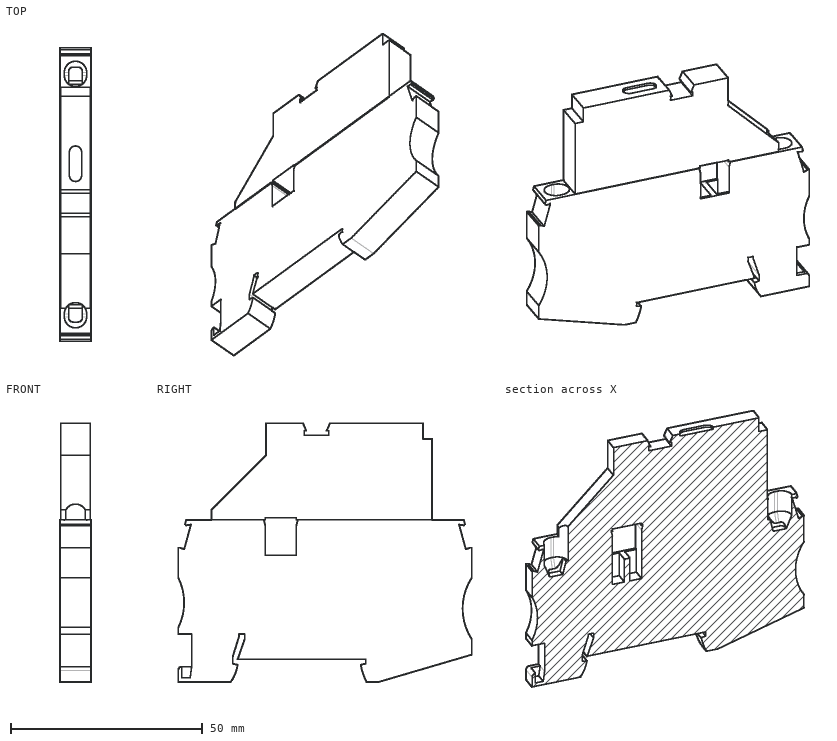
import cadquery as cq
import math

length = 76.5
height = 67.5
base_width = 8.2
upper_width = 7.8
shoulder_z = 42.2
half_length = length / 2

lip_y = 36.5
lip_bevel = 0.3
lip_tip_z = 41.15
lip_bottom_z = 40.8
notch_top_z = 41.0
notch_top_y = 34.95
notch_bottom_y = 36.7
notch_bottom_z = 34.6
end_top_z = 35.0
end_top_flat = 0.5
grip_top_z = 27.15
back_grip_bottom_z = 11.2
back_grip_depth = 2.4
front_grip_bottom_z = 14.2
front_grip_depth = 1.5

rail_z = 5.9
hook_root_z = 4.8
hook_tip_z = 4.5
back_corner_z = 7.1
back_foot_y = 14.0
back_hook_end_y = 10.8
back_hook_root_y = 10.55
back_hook_tip_y = 9.25
back_hook_bulge = (9.8, 2.45)
front_hook_end_y = -24.55
front_hook_root_y = -24.0
front_hook_tip_y = -22.7
front_hook_bulge = (-23.3, 2.2)

slit_top_z = 12.5
slit_back_y = -20.95
slit_back_z = 11.2
slit_back_bottom_y = -22.8
slit_front_y = -22.3
slit_front_z = 11.9
slit_front_bottom_z = 6.6

release_y = -34.7
release_top_z = 12.5
release_bottom_z = 4.05
release_edge_radius = 1.0

hollow_wall = 1.15
hollow_floor_z = 1.15
hollow_back_floor_y = -35.1

upper_back_y = 27.9
upper_step_y = 25.55
upper_step_z = 63.35
upper_front_y = -29.6
slope_top_y = -15.4
slope_top_z = 59.1
slope_bottom_z = slope_top_z - (slope_top_y - upper_front_y)

groove_y = -2.2
groove_floor_z = 64.3
groove_lip_z = 65.4
groove_floor_half = 3.1
groove_lip_half = 2.6
groove_top_half = 3.5

oval_y = 8.0
oval_length = 9.25
oval_width = 3.2
oval_depth = 0.6

window_back_y = -7.5
window_front_y = -15.5
window_floor_z = 33.05
window_top_z = 42.8
window_flare = 0.4
window_flare_z = 40.8
window_wall = 0.7
pocket_length = 3.2
pocket_depth = 6.9

funnel_y = 31.45
funnel_radius = 2.9
funnel_straight = 0.8
mouth_depth = 6.1
taper_depth = 3.8
taper_shrink = 1.5
socket_width = 3.6
socket_outer_y = 33.2
socket_inner_top_y = 28.7
socket_inner_bottom_y = 29.6
socket_corner_radius = 1.15


def extrude_profile(outline, width):
    """Extrude a closed YZ outline symmetrically about the X = 0 plane."""
    return outline.close().extrude(width / 2, both=True)


def end_points(side):
    """Overhanging lip and undercut at one end, from the shoulder downward."""
    points = [
        (lip_y - lip_bevel, shoulder_z),
        (lip_y, lip_tip_z),
        (lip_y - lip_bevel, lip_bottom_z),
        (notch_top_y, notch_top_z),
        (notch_bottom_y, notch_bottom_z),
        (half_length - end_top_flat, end_top_z),
        (half_length, end_top_z),
    ]
    return [(side * y, z) for y, z in points]


def make_base():
    front_end = end_points(-1)
    back_end = end_points(1)
    front_grip_mid_z = (grip_top_z + front_grip_bottom_z) / 2
    back_grip_mid_z = (grip_top_z + back_grip_bottom_z) / 2
    arc_inset = release_edge_radius * (1 - math.sqrt(0.5))

    outline = cq.Workplane("YZ").polyline(front_end)
    outline = (
        outline.lineTo(-half_length, grip_top_z)
        .threePointArc(
            (-half_length + front_grip_depth, front_grip_mid_z),
            (-half_length, front_grip_bottom_z),
        )
        .lineTo(-half_length, release_top_z)
        .lineTo(release_y, release_top_z)
        .lineTo(release_y, release_bottom_z)
        .lineTo(-half_length + release_edge_radius, release_bottom_z)
        .threePointArc(
            (-half_length + arc_inset, release_bottom_z - arc_inset),
            (-half_length, release_bottom_z - release_edge_radius),
        )
        .lineTo(-half_length, 0)
        .lineTo(front_hook_end_y, 0)
        .threePointArc(front_hook_bulge, (front_hook_tip_y, hook_tip_z))
        .lineTo(front_hook_root_y, hook_root_z)
    )
    outline = (
        outline.lineTo(front_hook_root_y, slit_front_bottom_z)
        .lineTo(slit_front_y, slit_front_z)
        .lineTo(slit_front_y, slit_top_z)
        .lineTo(slit_back_y, slit_top_z)
        .lineTo(slit_back_y, slit_back_z)
        .lineTo(slit_back_bottom_y, rail_z)
        .lineTo(back_hook_root_y, rail_z)
        .lineTo(back_hook_root_y, hook_root_z)
        .lineTo(back_hook_tip_y, hook_tip_z)
        .threePointArc(back_hook_bulge, (back_hook_end_y, 0))
        .lineTo(back_foot_y, 0)
        .lineTo(half_length, back_corner_z)
    )
    outline = outline.lineTo(half_length, back_grip_bottom_z).threePointArc(
        (half_length - back_grip_depth, back_grip_mid_z),
        (half_length, grip_top_z),
    )
    for point in reversed(back_end):
        outline = outline.lineTo(*point)
    return extrude_profile(outline, base_width)


def make_release_hollow():
    lip_inner_y = -half_length + release_edge_radius
    return (
        cq.Workplane("YZ", origin=(hollow_wall - base_width / 2, 0, 0))
        .polyline([
            (release_y, release_bottom_z),
            (hollow_back_floor_y, hollow_floor_z),
            (lip_inner_y, hollow_floor_z),
            (lip_inner_y, release_bottom_z),
        ])
        .close()
        .extrude(base_width - hollow_wall)
    )


def make_upper_block():
    outline = cq.Workplane("YZ").polyline([
        (upper_back_y, shoulder_z),
        (upper_back_y, upper_step_z),
        (upper_step_y, upper_step_z),
        (upper_step_y, height),
        (groove_y + groove_top_half, height),
        (groove_y + groove_lip_half, groove_lip_z),
        (groove_y + groove_floor_half, groove_lip_z),
        (groove_y + groove_floor_half, groove_floor_z),
        (groove_y - groove_floor_half, groove_floor_z),
        (groove_y - groove_floor_half, groove_lip_z),
        (groove_y - groove_lip_half, groove_lip_z),
        (groove_y - groove_top_half, height),
        (slope_top_y, height),
        (slope_top_y, slope_top_z),
        (upper_front_y, slope_bottom_z),
        (upper_front_y, shoulder_z),
    ])
    return extrude_profile(outline, upper_width)


def make_oval_recess():
    return (
        cq.Workplane("XY", origin=(0, oval_y, height - oval_depth))
        .slot2D(oval_length, oval_width, 90)
        .extrude(oval_depth)
    )


def make_window():
    opening = extrude_profile(
        cq.Workplane("YZ").polyline([
            (window_back_y, window_floor_z),
            (window_back_y, window_flare_z),
            (window_back_y + window_flare, shoulder_z),
            (window_back_y, shoulder_z),
            (window_back_y, window_top_z),
            (window_front_y, window_top_z),
            (window_front_y, shoulder_z),
            (window_front_y - window_flare, shoulder_z),
            (window_front_y, window_flare_z),
            (window_front_y, window_floor_z),
        ]),
        base_width,
    )
    pocket_width = base_width - 2 * window_wall
    for center_y in (window_back_y - pocket_length / 2, window_front_y + pocket_length / 2):
        pocket = (
            cq.Workplane("XY", origin=(0, center_y, window_floor_z))
            .rect(pocket_width, pocket_length)
            .extrude(-pocket_depth)
        )
        opening = opening.union(pocket)
    return opening


def funnel_slot(z):
    """Slot outline of the wire entry at the +Y end, lying at height z."""
    slot_length = 2 * funnel_radius + funnel_straight
    return cq.Workplane("XY", origin=(0, funnel_y, z)).slot2D(slot_length, 2 * funnel_radius, 90)


def socket_profile(outer_y, top_z, bottom_z, width):
    """Block with a sloping inner wall and a plain outer wall at outer_y."""
    outline = cq.Workplane("YZ").polyline([
        (socket_inner_bottom_y, bottom_z),
        (outer_y, bottom_z),
        (outer_y, top_z),
        (socket_inner_top_y, top_z),
    ])
    return extrude_profile(outline, width)


def make_funnel():
    """Wire entry at the +Y end: mouth, taper cut off by the inner wall, and socket."""
    taper_top_z = shoulder_z - mouth_depth
    taper_bottom_z = taper_top_z - taper_depth
    taper_angle = math.degrees(math.atan(taper_shrink / taper_depth))
    mouth = funnel_slot(shoulder_z).extrude(-mouth_depth)
    inner_limit = socket_profile(half_length, taper_top_z, taper_bottom_z, base_width)
    cone = funnel_slot(taper_top_z).extrude(-taper_depth, taper=taper_angle).intersect(inner_limit)
    socket = socket_profile(socket_outer_y, taper_top_z, taper_bottom_z, socket_width)
    socket = socket.edges("|Z").fillet(socket_corner_radius)
    return mouth.union(cone).union(socket)


base = make_base().cut(make_release_hollow())
upper_block = make_upper_block()
funnel = make_funnel()

front_clearance = funnel_slot(shoulder_z).extrude(height - shoulder_z).mirror("XZ")

result = base.union(upper_block.cut(front_clearance))
result = result.cut(make_window()).cut(make_oval_recess())
result = result.cut(funnel).cut(funnel.mirror("XZ"))